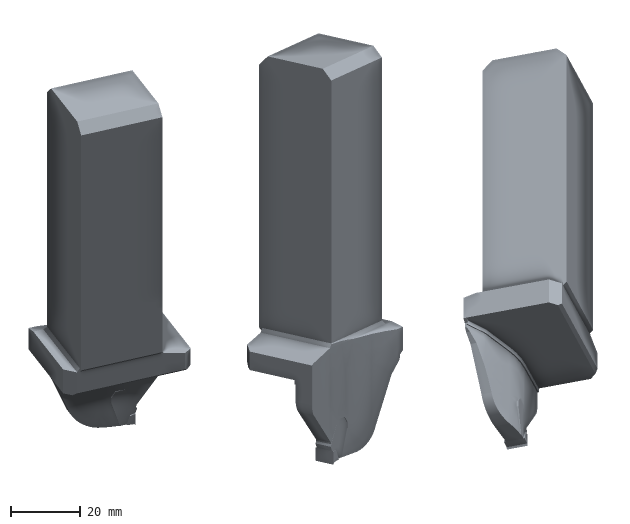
import cadquery as cq

total_height = 119.6
head_depth = 39.8

shank_size = 25.4
shank_right = 29.9
shank_front = 4.0
shank_left = shank_right - shank_size
shank_back = shank_front + shank_size
shank_top_chamfer = 3.0

plate_bottom = 27.4
ledge_height = 35.5
plate_right = 28.8
plate_corner_chamfer = 3.0
plate_bottom_chamfer = 1.0
shank_overhang = shank_right - plate_right

skirt_height = 1.2
skirt_width = 0.8

left_slope_start = shank_left - skirt_width
left_slope_drop = 1.0
back_slope_start = shank_back + skirt_width
back_slope_drop = 2.5

front_land = 2.6
back_corner_x = 4.0
outer_curve = [(0, front_land), (2.5, 12.1), (4.1, 22.7), (4.4, 29.9), (4.2, 38.9)]

blade_right = 9.7
blade_front = 1.4
inner_curve = [(blade_right, 27.5), (8.1, 18.3), (5.5, 11.4), (4.2, 7.5), (2.4, 4.5), (0.5, blade_front)]
blade_bottom = 0.8
root_flare_width = 0.42
root_flare_height = 1.3

insert_left = 4.3
insert_right = blade_right
insert_back = 29.9
tip_left = 3.8
tip_right = 10.0
tip_back = 29.3
tip_top = 4.1


def prism_along_x(outline, x_start, x_end):
    """Closed YZ outline extruded between two X positions."""
    return outline.close().extrude(x_end - x_start).translate((x_start, 0, 0))


def outer_face_outline():
    """Open XY outline of the left face, from the front to the back left corner."""
    return (
        cq.Workplane("XY")
        .moveTo(0, 0)
        .lineTo(0, front_land)
        .spline(outer_curve[1:], includeCurrent=True)
        .lineTo(back_corner_x, head_depth)
    )


def head_plan_prism(z_start, z_end):
    """Full plan of the head, with its right corners chamfered."""
    return (
        outer_face_outline()
        .lineTo(plate_right - plate_corner_chamfer, head_depth)
        .lineTo(plate_right, head_depth - plate_corner_chamfer)
        .lineTo(plate_right, plate_corner_chamfer)
        .lineTo(plate_right - plate_corner_chamfer, 0)
        .close()
        .extrude(z_end - z_start)
        .translate((0, 0, z_start))
    )


def head_front_profile():
    """Shape of the head in XZ: sloped ledge on the left, chamfered plate on the right."""
    return (
        cq.Workplane("XZ")
        .lineTo(plate_right - plate_bottom_chamfer, 0)
        .lineTo(plate_right - plate_bottom_chamfer, plate_bottom)
        .lineTo(plate_right, plate_bottom + plate_bottom_chamfer)
        .lineTo(plate_right, ledge_height)
        .lineTo(left_slope_start, ledge_height)
        .lineTo(0, ledge_height - left_slope_drop)
        .close()
        .extrude(-head_depth)
    )


def head_side_profile():
    """Shape of the head in YZ: sloped ledge at the back, slanted flanks and a rounded nose."""
    outline = (
        cq.Workplane("YZ")
        .moveTo(0, ledge_height)
        .lineTo(0, plate_bottom)
        .lineTo(1.3, 26.5)
        .lineTo(1.5, 25.1)
        .lineTo(2.6, 24.2)
        .lineTo(4.7, 21.3)
        .lineTo(10.4, 7.0)
        .threePointArc((13.3, 2.8), (18.3, blade_bottom))
        .lineTo(28.7, blade_bottom)
        .lineTo(29.7, 6.7)
        .lineTo(38.6, 17.6)
        .threePointArc((39.5, 19.1), (head_depth, 20.9))
        .lineTo(head_depth, ledge_height - back_slope_drop)
        .lineTo(back_slope_start, ledge_height)
    )
    return prism_along_x(outline, 0, plate_right)


def blade_clearance(flare, z_start, z_end):
    """Space to the right of the blade, below the plate; the flare moves it to the right."""
    inner_points = [(x + flare, y) for x, y in inner_curve]
    return (
        cq.Workplane("XY")
        .moveTo(blade_right + flare, head_depth)
        .lineTo(*inner_points[0])
        .spline(inner_points[1:], tangents=[(0, -1), (-1, -2)], includeCurrent=True)
        .lineTo(inner_points[-1][0], 0)
        .lineTo(plate_right, 0)
        .lineTo(plate_right, head_depth)
        .close()
        .extrude(z_end - z_start)
        .translate((0, 0, z_start))
    )


def make_head():
    """Plate and blade in one piece, sharing the concave left face."""
    flare_bottom = plate_bottom - root_flare_height
    head = head_plan_prism(0, ledge_height)
    head = head.intersect(head_front_profile()).intersect(head_side_profile())
    head = head.cut(blade_clearance(0, 0, flare_bottom))
    return head.cut(blade_clearance(root_flare_width, flare_bottom, plate_bottom))


def make_shank():
    shank = (
        cq.Workplane("XY", origin=(shank_left, shank_front, ledge_height))
        .rect(shank_size, shank_size, centered=False)
        .extrude(total_height - ledge_height)
    )
    shank = shank.faces(">Z").edges("|Y").chamfer(shank_top_chamfer)
    return shank.faces("<Z").edges(">X").chamfer(shank_overhang)


def make_skirt():
    """Sloped band around the shank foot, trimmed to the plan of the head."""
    foot_size = shank_size + 2 * skirt_width
    shank_center = (shank_left + shank_size / 2, shank_front + shank_size / 2, ledge_height)
    skirt = (
        cq.Workplane("XY", origin=shank_center)
        .rect(foot_size, foot_size)
        .workplane(offset=skirt_height)
        .rect(shank_size, shank_size)
        .loft()
    )
    return skirt.intersect(head_plan_prism(ledge_height, ledge_height + skirt_height))


def stem_outline():
    """Sides of the insert stem that bear on the blade, from its back edge to the nose."""
    return (
        cq.Workplane("YZ")
        .moveTo(insert_back, 5.5)
        .lineTo(26.3, 12.8)
        .lineTo(23.2, 12.8)
        .lineTo(21.9, 10.9)
        .lineTo(21.9, 9.1)
        .lineTo(24.5, blade_bottom)
    )


def make_insert():
    stem = stem_outline().lineTo(tip_back, blade_bottom).lineTo(tip_back, tip_top)
    tip = (
        cq.Workplane("YZ")
        .moveTo(26.5, blade_bottom)
        .lineTo(29.0, 0.6)
        .lineTo(tip_back, 0)
        .lineTo(tip_back, tip_top)
        .lineTo(27.6, 3.7)
    )
    stem_body = prism_along_x(stem, insert_left, insert_right)
    return stem_body.union(prism_along_x(tip, tip_left, tip_right))


def make_insert_slot():
    """Slot through the blade that holds the insert, open at the nose."""
    outline = stem_outline().lineTo(insert_back, blade_bottom)
    return prism_along_x(outline, 0, plate_right)


insert = make_insert()
holder = make_head().union(make_shank()).union(make_skirt())
holder = holder.cut(make_insert_slot())

result = cq.Compound.makeCompound([holder.val(), insert.val()])